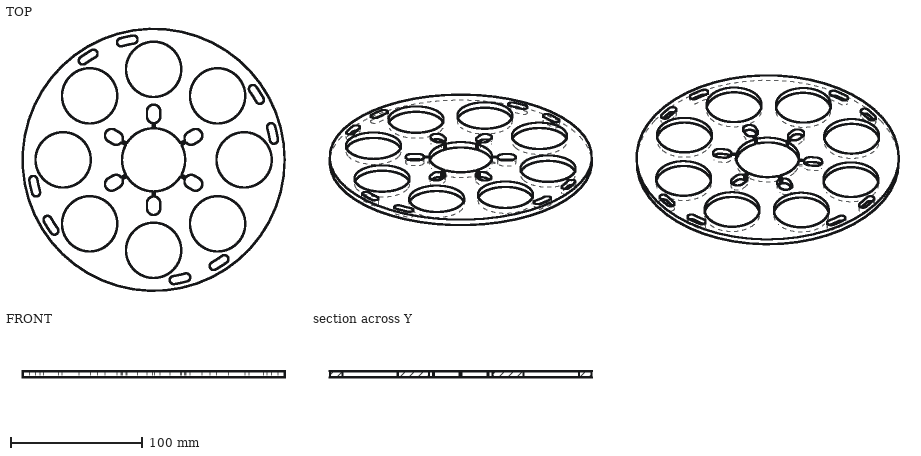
import cadquery as cq
import math

disc_diameter = 200.0
disc_thickness = 4.8
centre_hole_diameter = 48.0

opening_count = 8
opening_diameter = 42.0
opening_ring_radius = 69.0

relief_count = 6
relief_width = 10.0
relief_inner_radius = 28.0
relief_outer_radius = 42.0
relief_first_angle = 30.0
slit_width = 1.5

rim_pair_count = 4
rim_slot_sweep = 6.0
rim_slot_width = 6.0
rim_slot_radius = 93.0
rim_pair_angle = 360.0 / opening_count / 2
rim_slot_half_spread = 10.0


def make_disc():
    return (
        cq.Workplane("XY")
        .circle(disc_diameter / 2)
        .circle(centre_hole_diameter / 2)
        .extrude(disc_thickness)
    )


def make_openings():
    return (
        cq.Workplane("XY")
        .polarArray(opening_ring_radius, 0, 360, opening_count)
        .circle(opening_diameter / 2)
        .extrude(disc_thickness)
    )


def make_relief():
    """One relief slot and its slit, running outward along +X."""
    relief_length = relief_outer_radius - relief_inner_radius
    relief_middle = (relief_outer_radius + relief_inner_radius) / 2
    relief = (
        cq.Workplane("XY")
        .center(relief_middle, 0)
        .slot2D(relief_length, relief_width)
        .extrude(disc_thickness)
    )
    slit = (
        cq.Workplane("XY")
        .center(relief_middle / 2, 0)
        .rect(relief_middle, slit_width)
        .extrude(disc_thickness)
    )
    return relief.union(slit)


def polar_point(radius, angle):
    turn = math.radians(angle)
    return (radius * math.cos(turn), radius * math.sin(turn))


def make_rim_slot():
    """One curved slot about the disc centre, its middle on the +X axis."""
    outer_radius = rim_slot_radius + rim_slot_width / 2
    inner_radius = rim_slot_radius - rim_slot_width / 2
    end_angle = rim_slot_sweep / 2
    outer_start = polar_point(outer_radius, -end_angle)
    outer_end = polar_point(outer_radius, end_angle)
    inner_start = polar_point(inner_radius, end_angle)
    inner_end = polar_point(inner_radius, -end_angle)
    return (
        cq.Workplane("XY")
        .moveTo(*outer_start)
        .threePointArc((outer_radius, 0), outer_end)
        .tangentArcPoint(inner_start, relative=False)
        .threePointArc((inner_radius, 0), inner_end)
        .tangentArcPoint(outer_start, relative=False)
        .close()
        .extrude(disc_thickness)
    )


def turned(body, angle):
    return body.rotate((0, 0, 0), (0, 0, 1), angle)


result = make_disc().cut(make_openings())

for index in range(relief_count):
    angle = relief_first_angle + index * 360.0 / relief_count
    result = result.cut(turned(make_relief(), angle))

for index in range(rim_pair_count):
    pair_angle = rim_pair_angle + index * 360.0 / rim_pair_count
    for offset in (-rim_slot_half_spread, rim_slot_half_spread):
        result = result.cut(turned(make_rim_slot(), pair_angle + offset))